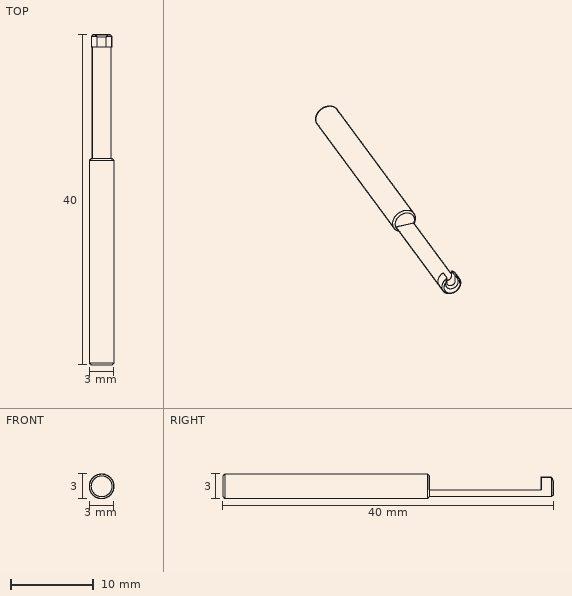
import cadquery as cq

total_length = 40.0
handle_diameter = 3.0
handle_length = 25.0
handle_chamfer = 0.25

rod_diameter = 2.5
head_length = 1.5
head_chamfer = 0.2
strip_top_z = -0.45

slot_width = 1.1
slot_center_z = 0.4
slot_flare = 0.3

handle_start_y = -total_length / 2
handle_end_y = handle_start_y + handle_length
tip_y = total_length / 2
head_start_y = tip_y - head_length


def cylinder_along_y(diameter, start_y, end_y):
    plane = cq.Workplane("XZ", origin=(0, start_y, 0))
    return plane.circle(diameter / 2).extrude(start_y - end_y)


def make_handle():
    handle = cylinder_along_y(handle_diameter, handle_start_y, handle_end_y)
    return handle.faces("<Y or >Y").chamfer(handle_chamfer)


def make_rod():
    rod = cylinder_along_y(rod_diameter, handle_end_y - handle_chamfer, tip_y)
    return rod.faces(">Y").chamfer(head_chamfer)


def make_strip_relief():
    """Material removed above the flat strip, between handle and head."""
    length = head_start_y - handle_end_y
    relief = cq.Workplane("XY").box(
        handle_diameter, length, handle_diameter, centered=(True, False, False)
    )
    return relief.translate((0, handle_end_y, strip_top_z))


def slot_profile(y, half_width):
    """U outline with its arc centred on the slot axis and its mouth above the head."""
    mouth_z = handle_diameter / 2
    return (
        cq.Workplane("XZ", origin=(0, y, 0))
        .moveTo(-half_width, mouth_z)
        .lineTo(-half_width, slot_center_z)
        .threePointArc((0, slot_center_z - half_width), (half_width, slot_center_z))
        .lineTo(half_width, mouth_z)
        .close()
    )


def make_slot():
    slot = slot_profile(head_start_y, slot_width / 2).extrude(-head_length)
    wide_end = slot_profile(tip_y, slot_width / 2 + slot_flare).val()
    narrow_end = slot_profile(tip_y - slot_flare, slot_width / 2).val()
    flare = cq.Workplane(cq.Solid.makeLoft([wide_end, narrow_end], True))
    return slot.union(flare)


rod = make_rod().cut(make_strip_relief()).cut(make_slot())
result = make_handle().union(rod)